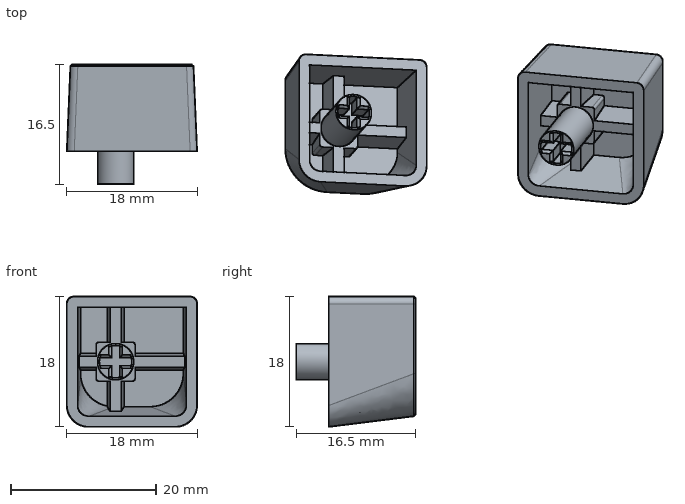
import cadquery as cq
import math

rim_size = 18.0
shell_depth = 12.0
wall = 1.5
floor_depth = shell_depth - wall
side_taper = 0.5
bottom_taper = 1.5
top_radius = 1.0
rim_bottom_radius = 3.0
crown_bottom_radius = 6.0
crown_chamfer = 0.27

stem_x = -2.25
stem_radius = 2.5
stem_protrusion = 4.5
socket_radius = 2.23
socket_slot = 1.08
socket_chamfer = 0.4
socket_depth = 4.0

rib_height = 5.0
rib_crest = 1.5
rib_base = 2.38
boss_size = 5.36
boss_radius = 0.36


def xz_plane(y, x=0):
    """Sketch plane at depth y whose local axes are X and Z, with normal -Y."""
    return cq.Workplane("XZ", origin=(x, y, 0))


def section(y, inset, radius_depth=shell_depth):
    """Shell outline at depth y, offset inward by inset.

    The lower corners reach their full crown radius at radius_depth.
    """
    fraction = y / shell_depth
    half_width = rim_size / 2 - side_taper * fraction - inset
    top = rim_size / 2 - inset
    bottom = -rim_size / 2 + bottom_taper * fraction + inset
    growth = crown_bottom_radius - rim_bottom_radius
    lower_radius = rim_bottom_radius + growth * y / radius_depth - inset
    upper_radius = top_radius - inset
    low_bend = lower_radius * (1 - math.sqrt(0.5))

    sketch = xz_plane(y).moveTo(-half_width + lower_radius, bottom)
    sketch = sketch.lineTo(half_width - lower_radius, bottom)
    sketch = sketch.threePointArc(
        (half_width - low_bend, bottom + low_bend), (half_width, bottom + lower_radius)
    )
    if upper_radius > 0:
        high_bend = upper_radius * (1 - math.sqrt(0.5))
        sketch = sketch.lineTo(half_width, top - upper_radius)
        sketch = sketch.threePointArc(
            (half_width - high_bend, top - high_bend), (half_width - upper_radius, top)
        )
        sketch = sketch.lineTo(-half_width + upper_radius, top)
        sketch = sketch.threePointArc(
            (-half_width + high_bend, top - high_bend), (-half_width, top - upper_radius)
        )
    else:
        sketch = sketch.lineTo(half_width, top).lineTo(-half_width, top)
    sketch = sketch.lineTo(-half_width, bottom + lower_radius)
    sketch = sketch.threePointArc(
        (-half_width + low_bend, bottom + low_bend), (-half_width + lower_radius, bottom)
    )
    return sketch.close().wire().val()


def loft(*sections):
    return cq.Workplane(cq.Solid.makeLoft(list(sections), True))


def make_ribs():
    """Crossing ribs with sloping flanks, trimmed to lie inside the shell."""
    crest_depth = floor_depth - rib_height
    flank = [
        (-rib_crest / 2, crest_depth),
        (rib_crest / 2, crest_depth),
        (rib_base / 2, floor_depth),
        (rib_base / 2, floor_depth + wall / 2),
        (-rib_base / 2, floor_depth + wall / 2),
        (-rib_base / 2, floor_depth),
    ]
    upright = cq.Workplane("XY", origin=(stem_x, 0, 0)).polyline(flank).close()
    upright = upright.extrude(rim_size / 2, both=True)
    level = upright.rotate((stem_x, 0, 0), (stem_x, 1, 0), 90)
    level = level.union(level.translate((-2 * stem_x, 0, 0)))
    envelope = loft(section(0, wall / 2), section(shell_depth, wall / 2))
    return upright.union(level).intersect(envelope)


def make_socket():
    """Plus-shaped recess with a chamfered mouth and cylindrical arm ends."""
    half_slot = socket_slot / 2
    half_mouth = half_slot + socket_chamfer
    mouth = -stem_protrusion
    end = mouth + socket_depth
    outline = [
        (-half_mouth, mouth),
        (half_mouth, mouth),
        (half_slot, mouth + socket_chamfer),
        (half_slot, end),
        (-half_slot, end),
        (-half_slot, mouth + socket_chamfer),
    ]
    slot = cq.Workplane("XY", origin=(stem_x, 0, 0)).polyline(outline).close()
    slot = slot.extrude(stem_radius, both=True)
    crossing_slot = slot.rotate((stem_x, 0, 0), (stem_x, 1, 0), 90)
    limit = xz_plane(mouth, stem_x).circle(socket_radius).extrude(-socket_depth)
    return slot.union(crossing_slot).intersect(limit)


chamfer_start = shell_depth - crown_chamfer
body = loft(section(0, 0), section(chamfer_start, 0))
crown = loft(section(chamfer_start, 0), section(shell_depth, crown_chamfer))
cavity = loft(section(0, wall), section(floor_depth, wall, floor_depth))
shell = body.union(crown).cut(cavity)

boss = xz_plane(floor_depth, stem_x).rect(boss_size, boss_size).extrude(rib_height)
boss = boss.edges("|Y").fillet(boss_radius)

stem = xz_plane(floor_depth, stem_x).circle(stem_radius).extrude(floor_depth + stem_protrusion)

result = shell.union(make_ribs()).union(boss).union(stem).cut(make_socket())